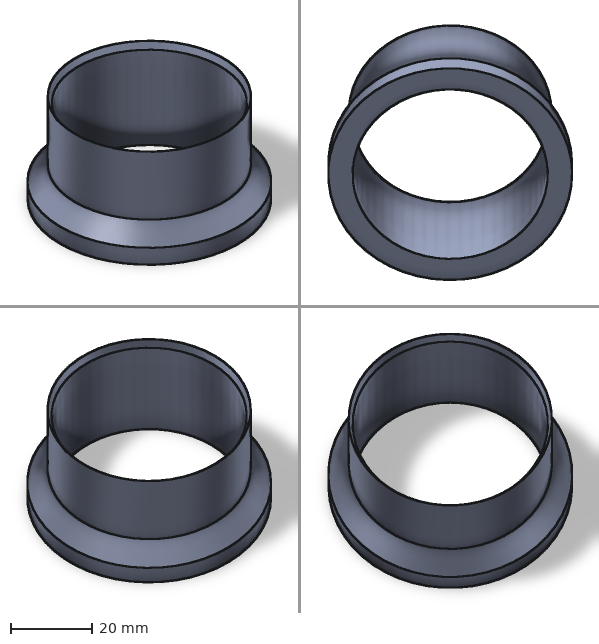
import cadquery as cq

FLANGE_DIAMETER = 60.0
TUBE_DIAMETER = 50.0
BORE_DIAMETER = 48.0
TOTAL_HEIGHT = 30.0
FLANGE_HEIGHT = 5.0
RIM_BEVEL_HEIGHT = 2.0

flange_radius = FLANGE_DIAMETER / 2
tube_radius = TUBE_DIAMETER / 2
bore_radius = BORE_DIAMETER / 2

shoulder_top = FLANGE_HEIGHT + flange_radius - tube_radius
bevel_start = TOTAL_HEIGHT - RIM_BEVEL_HEIGHT


def make_collar():
    """Revolve the wall section, drawn as (radius, height), about the Z axis."""
    wall_section = [
        (bore_radius, 0),
        (flange_radius, 0),
        (flange_radius, FLANGE_HEIGHT),
        (tube_radius, shoulder_top),
        (tube_radius, TOTAL_HEIGHT),
        (bore_radius, bevel_start),
    ]
    axis_start = (0, 0)
    axis_end = (0, 1)
    return cq.Workplane("XZ").polyline(wall_section).close().revolve(360, axis_start, axis_end)


result = make_collar()